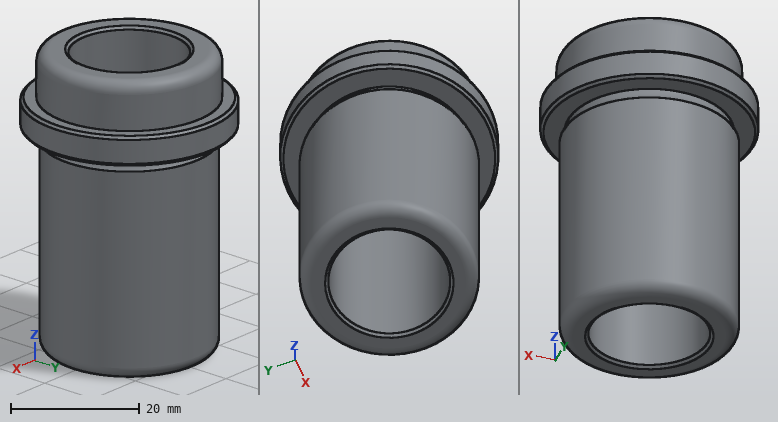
import cadquery as cq
import math

total_height = 50.0
head_height = 8.0
flange_height = 5.0
neck_height = 2.0

body_radius = 14.0
head_radius = 14.5
flange_radius = 17.0
neck_radius = 13.25
bore_radius = 9.5

end_rounding = 2.0
flange_chamfer = 0.5
bore_chamfer = 0.5

flange_top = total_height - head_height
flange_bottom = flange_top - flange_height
body_top = flange_bottom - neck_height


def make_body():
    """Lower cylinder with a rounded bottom edge."""
    body = cq.Workplane("XY").circle(body_radius).extrude(body_top)
    return body.faces("<Z").edges().fillet(end_rounding)


def make_neck():
    """Concave neck that narrows from the body and meets the flange parallel to the axis."""
    neck_depth = body_radius - neck_radius
    arc_radius = (neck_height**2 + neck_depth**2) / (2 * neck_depth)
    half_angle = math.asin(neck_height / arc_radius) / 2
    neck_arc_middle = (
        neck_radius + arc_radius * (1 - math.cos(half_angle)),
        flange_bottom - arc_radius * math.sin(half_angle),
    )
    return (
        cq.Workplane("XZ")
        .moveTo(0, body_top)
        .lineTo(0, flange_bottom)
        .lineTo(neck_radius, flange_bottom)
        .threePointArc(neck_arc_middle, (body_radius, body_top))
        .close()
        .revolve(360, (0, 0), (0, 1))
    )


def make_flange():
    """Collar with both rims chamfered."""
    flange = cq.Workplane("XY", origin=(0, 0, flange_bottom)).circle(flange_radius).extrude(flange_height)
    return flange.edges().chamfer(flange_chamfer)


def make_head():
    """Upper cylinder with a rounded top edge."""
    head = cq.Workplane("XY", origin=(0, 0, flange_top)).circle(head_radius).extrude(head_height)
    return head.faces(">Z").edges().fillet(end_rounding)


def make_bore():
    """Through bore, with a countersunk mouth at each end."""
    mouth_radius = bore_radius + bore_chamfer
    return (
        cq.Workplane("XZ")
        .lineTo(mouth_radius, 0)
        .lineTo(bore_radius, bore_chamfer)
        .lineTo(bore_radius, total_height - bore_chamfer)
        .lineTo(mouth_radius, total_height)
        .lineTo(0, total_height)
        .close()
        .revolve(360, (0, 0), (0, 1))
    )


outer_shape = make_body().union(make_neck()).union(make_flange()).union(make_head())
result = outer_shape.cut(make_bore())